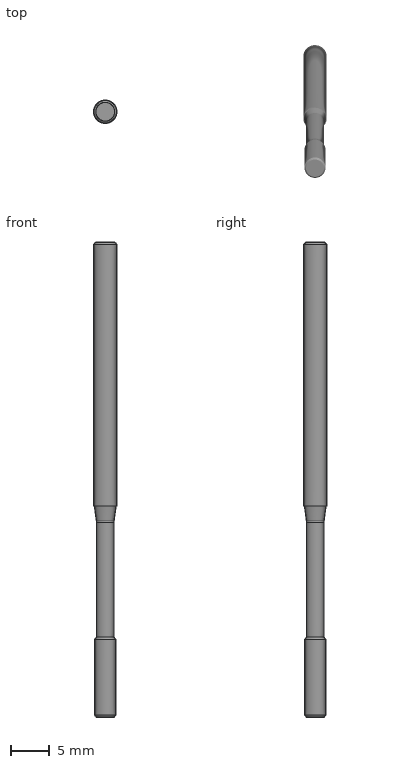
import cadquery as cq

total_length = 61.0
shank_length = 33.9
collar_length = 0.25
head_length = 10.0
reach = 25.0

shank_diameter = 3.0
taper_top_diameter = 2.8
neck_diameter = 2.3
head_diameter = 2.7

shank_chamfer = 0.3
tip_chamfer_height = 0.3
tip_chamfer_width = 0.2
shoulder_height = 0.3

shank_radius = shank_diameter / 2
taper_top_radius = taper_top_diameter / 2
neck_radius = neck_diameter / 2
head_radius = head_diameter / 2

shank_bottom = total_length - shank_length


def revolve_profile(points):
    """Turn a (radius, z) outline around the Z axis."""
    return cq.Workplane("XZ").polyline(points).close().revolve(360, (0, 0, 0), (0, 1, 0))


def make_shank():
    """Chamfered shank with a conical transition to a short collar of neck diameter."""
    return revolve_profile([
        (0, reach),
        (neck_radius, reach),
        (neck_radius, reach + collar_length),
        (taper_top_radius, shank_bottom),
        (shank_radius, shank_bottom),
        (shank_radius, total_length - shank_chamfer),
        (shank_radius - shank_chamfer, total_length),
        (0, total_length),
    ])


def make_cutter():
    """Cylindrical head with a chamfered tip, and a conical shoulder up to the slim neck."""
    return revolve_profile([
        (0, 0),
        (head_radius - tip_chamfer_width, 0),
        (head_radius, tip_chamfer_height),
        (head_radius, head_length),
        (neck_radius, head_length + shoulder_height),
        (neck_radius, reach),
        (0, reach),
    ])


shank = make_shank()
cutter = make_cutter()

result = cq.Compound.makeCompound([shank.val(), cutter.val()])